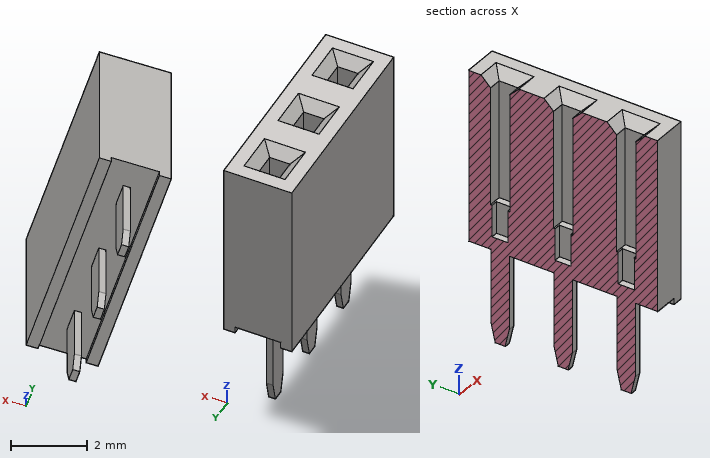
import cadquery as cq

pitch = 2.0
pin_count = 3
total_height = 8.3
pin_reach = 2.7
housing_width = pitch
housing_length = pin_count * pitch
housing_height = total_height - pin_reach

foot_width = 0.33
channel_depth = 0.2

mouth_size = 1.2
socket_size = 0.6
mouth_depth = 0.3
socket_depth = 3.98

pin_width = socket_size
pin_thickness = 0.2
tip_width = 0.32
tip_length = 0.6

slot_length = 0.5
slot_depth = 1.0

pin_positions = [(i - (pin_count - 1) / 2) * pitch for i in range(pin_count)]


def make_housing():
    block = cq.Workplane("XY").box(
        housing_width, housing_length, housing_height, centered=(True, True, False)
    )
    channel = cq.Workplane("XY").box(
        housing_width - 2 * foot_width, housing_length, channel_depth, centered=(True, True, False)
    )
    return block.cut(channel)


def flat_plate(y, top_z, top_width, bottom_z, bottom_width):
    """Plate of pin thickness, straight or tapering from its top width to its bottom width."""
    outline = [
        (y - top_width / 2, top_z),
        (y + top_width / 2, top_z),
        (y + bottom_width / 2, bottom_z),
        (y - bottom_width / 2, bottom_z),
    ]
    return cq.Workplane("YZ").polyline(outline).close().extrude(pin_thickness / 2, both=True)


def make_socket(y):
    mouth = (
        cq.Workplane("XY", origin=(0, y, housing_height))
        .rect(mouth_size, mouth_size)
        .workplane(offset=-mouth_depth)
        .rect(socket_size, socket_size)
        .loft(ruled=True)
    )
    shaft = (
        cq.Workplane("XY", origin=(0, y, housing_height - mouth_depth))
        .rect(socket_size, socket_size)
        .extrude(mouth_depth - socket_depth)
    )
    floor_z = housing_height - socket_depth
    slot = flat_plate(y, floor_z, slot_length, floor_z - slot_depth, slot_length)
    return mouth.union(shaft).union(slot)


def make_pin(y):
    shoulder_z = tip_length - pin_reach
    shank = flat_plate(y, channel_depth, pin_width, shoulder_z, pin_width)
    tip = flat_plate(y, shoulder_z, pin_width, -pin_reach, tip_width)
    return shank.union(tip)


result = make_housing()
for pin_y in pin_positions:
    result = result.cut(make_socket(pin_y)).union(make_pin(pin_y))